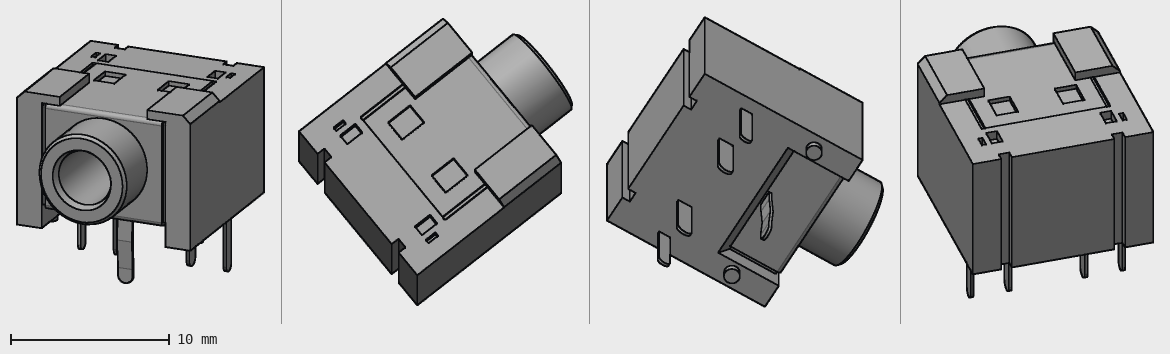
import cadquery as cq
import math


HOUSING_WIDTH = 11.91
HOUSING_DEPTH = 11.6
ROOF_Z = 8.4
TAB_TOP_Z = 9.0
TAB_LENGTH = 4.6
TAB_INNER_X = 3.0
TAB_CHAMFER = 0.5
RAMP_START_Y = 3.6
RAMP_ANGLE = 30
STANDOFF_X = 5.0
STANDOFF_Y = 3.0
STANDOFF_DIAMETER = 1.0
STANDOFF_HEIGHT = 0.5
NOTCH_X = 3.73
NOTCH_WIDTH = 0.7
NOTCH_DEPTH = 0.55
SLOT_BACK_Y = 9.75
WIDE_SLOT_X = 3.76
WIDE_SLOT_SIZE = (0.72, 1.22, 0.6)
NARROW_SLOT_X = 4.64
NARROW_SLOT_SIZE = (0.28, 0.77, 0.6)

SOCKET_WIDTH = 8.0
SOCKET_BOTTOM_Z = 1.3
SOCKET_LENGTH = 8.0
SOCKET_FILLET = 0.3
FLANGE_WIDTH = 8.5
FLANGE_INSET = 0.2
BARREL_DIAMETER = 6.0
BARREL_LENGTH = 3.4
BARREL_Z = 5.0
BARREL_CHAMFER = 0.2
BORE_DIAMETER = 3.6
BORE_MOUTH_DIAMETER = 4.0
BORE_MOUTH_DEPTH = 0.5
RECESS_X = 2.19
RECESS_BACK_Y = 6.86
RECESS_SIZE = (1.42, 1.77, 0.3)

PIN_TIP_Z = -4.2
PIN_THICKNESS = 0.2
SIDE_PIN_Y = 8.0
OUTER_PIN_X = 5.0
OUTER_PIN_WIDTH = 0.8
INNER_PIN_X = 2.5
INNER_PIN_WIDTH = 1.0
CENTRE_PIN_Y = 3.48
CENTRE_PIN_WIDTH = 1.0
CENTRE_PIN_BENDS = ((0.3, 0.0), (-1.32, -0.09), (-3.2, 0.02))
CENTRE_PIN_TIP_SHIFT = 0.02

FLANGE_BOTTOM_Z = SOCKET_BOTTOM_Z + FLANGE_INSET
FLANGE_TOP_Z = ROOF_Z - FLANGE_INSET
RAMP_RUN = FLANGE_BOTTOM_Z * math.tan(math.radians(RAMP_ANGLE))


def block(width, y_range, z_range, x=0.0):
    """Box centred on x that spans the given Y and Z ranges."""
    size_y = y_range[1] - y_range[0]
    size_z = z_range[1] - z_range[0]
    return cq.Workplane("XY").box(width, size_y, size_z, centered=(True, False, False)).translate(
        (x, y_range[0], z_range[0])
    )


def roof_pocket(x, back_y, size):
    """Rectangular pocket sunk from the roof level, with its back edge at back_y."""
    width, length, depth = size
    return block(width, (back_y - length, back_y), (ROOF_Z - depth, ROOF_Z), x)


def make_housing():
    housing = block(HOUSING_WIDTH, (0, HOUSING_DEPTH), (0, TAB_TOP_Z))
    housing = housing.edges("|Y and >Z").chamfer(TAB_CHAMFER)
    housing = housing.cut(block(HOUSING_WIDTH, (TAB_LENGTH, HOUSING_DEPTH), (ROOF_Z, TAB_TOP_Z)))
    housing = housing.cut(block(2 * TAB_INNER_X, (0, TAB_LENGTH), (ROOF_Z, TAB_TOP_Z)))

    housing = housing.cut(block(FLANGE_WIDTH, (0, SOCKET_LENGTH), (FLANGE_BOTTOM_Z, ROOF_Z)))
    housing = housing.cut(block(SOCKET_WIDTH, (0, SOCKET_LENGTH), (SOCKET_BOTTOM_Z, ROOF_Z)))
    clearance = (
        cq.Workplane("YZ")
        .polyline([
            (0, 0),
            (0, FLANGE_BOTTOM_Z),
            (RAMP_START_Y, FLANGE_BOTTOM_Z),
            (RAMP_START_Y + RAMP_RUN, 0),
        ])
        .close()
        .extrude(FLANGE_WIDTH / 2, both=True)
    )
    housing = housing.cut(clearance)

    notch_y = (HOUSING_DEPTH - NOTCH_DEPTH, HOUSING_DEPTH)
    for side in (-1, 1):
        housing = housing.cut(block(NOTCH_WIDTH, notch_y, (0, ROOF_Z), side * NOTCH_X))
        housing = housing.cut(roof_pocket(side * WIDE_SLOT_X, SLOT_BACK_Y, WIDE_SLOT_SIZE))
        housing = housing.cut(roof_pocket(side * NARROW_SLOT_X, SLOT_BACK_Y, NARROW_SLOT_SIZE))

    standoffs = (
        cq.Workplane("XY")
        .pushPoints([(-STANDOFF_X, STANDOFF_Y), (STANDOFF_X, STANDOFF_Y)])
        .circle(STANDOFF_DIAMETER / 2)
        .extrude(-STANDOFF_HEIGHT)
    )
    return housing.union(standoffs)


def make_socket():
    core = block(SOCKET_WIDTH, (0, SOCKET_LENGTH), (SOCKET_BOTTOM_Z, ROOF_Z))
    core = core.faces("<Y").edges("|X").fillet(SOCKET_FILLET)
    flange = block(FLANGE_WIDTH, (FLANGE_INSET, SOCKET_LENGTH), (FLANGE_BOTTOM_Z, FLANGE_TOP_Z))
    flange = flange.faces("<Y").edges("|X").fillet(SOCKET_FILLET - FLANGE_INSET)
    front = cq.Workplane("XZ", origin=(0, 0, BARREL_Z))
    barrel = front.circle(BARREL_DIAMETER / 2).extrude(BARREL_LENGTH)
    barrel = barrel.faces("<Y").chamfer(BARREL_CHAMFER)
    socket = core.union(flange).union(barrel)

    bore_profile = [
        (0, -BARREL_LENGTH),
        (BORE_MOUTH_DIAMETER / 2, -BARREL_LENGTH),
        (BORE_DIAMETER / 2, BORE_MOUTH_DEPTH - BARREL_LENGTH),
        (BORE_DIAMETER / 2, SOCKET_LENGTH),
        (0, SOCKET_LENGTH),
    ]
    bore = cq.Workplane("XY").polyline(bore_profile).close().revolve(360, (0, 0, 0), (0, 1, 0))
    socket = socket.cut(bore.translate((0, 0, BARREL_Z)))

    for side in (-1, 1):
        socket = socket.cut(roof_pocket(side * RECESS_X, RECESS_BACK_Y, RECESS_SIZE))
    return socket


def rounded_blade(plane, width, top_z, thickness):
    """Flat strip from top_z down to a round tip, centred on the plane's origin."""
    shoulder_z = PIN_TIP_Z + width / 2
    return (
        cq.Workplane(plane)
        .moveTo(-width / 2, top_z)
        .lineTo(-width / 2, shoulder_z)
        .threePointArc((0, PIN_TIP_Z), (width / 2, shoulder_z))
        .lineTo(width / 2, top_z)
        .close()
        .extrude(thickness / 2, both=True)
    )


def make_side_pin(x, width):
    return rounded_blade("YZ", width, 0, PIN_THICKNESS).translate((x, SIDE_PIN_Y, 0))


def make_centre_pin():
    """Pin under the socket: a bent strip trimmed to a blade with a round tip."""
    path = [
        (0, SOCKET_BOTTOM_Z),
        *[(shift, z) for z, shift in CENTRE_PIN_BENDS],
        (CENTRE_PIN_TIP_SHIFT, PIN_TIP_Z),
    ]
    front_edge = [(y - PIN_THICKNESS / 2, z) for y, z in path]
    back_edge = [(y + PIN_THICKNESS / 2, z) for y, z in reversed(path)]
    outline = cq.Workplane("YZ").polyline(front_edge + back_edge).close()
    strip = outline.extrude(CENTRE_PIN_WIDTH / 2, both=True)
    blade = rounded_blade("XZ", CENTRE_PIN_WIDTH, SOCKET_BOTTOM_Z, CENTRE_PIN_WIDTH)
    return strip.intersect(blade).translate((0, CENTRE_PIN_Y, 0))


housing = make_housing()
socket = make_socket()
centre_pin = make_centre_pin()
side_pins = [
    make_side_pin(side * x, width)
    for x, width in ((OUTER_PIN_X, OUTER_PIN_WIDTH), (INNER_PIN_X, INNER_PIN_WIDTH))
    for side in (-1, 1)
]

result = cq.Compound.makeCompound(
    [housing.val(), socket.val(), centre_pin.val(), *[pin.val() for pin in side_pins]]
)